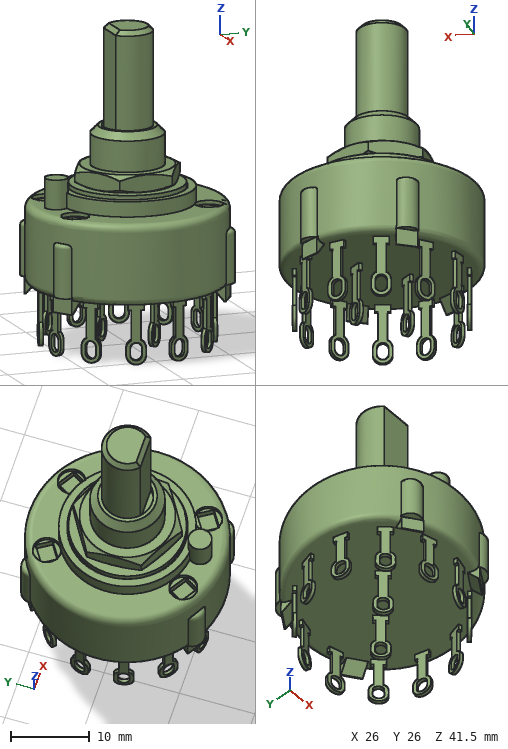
import cadquery as cq
import math

OVERALL_HEIGHT = 41.5

HOUSING_DIA = 26.0
HOUSING_BOTTOM_Z = 8.05
HOUSING_TOP_Z = 18.65
TOP_FACE_DIA = 24.0
TOP_ROUND = (HOUSING_DIA - TOP_FACE_DIA) / 2
BOTTOM_ROUND = 0.87

COLLAR_DIA = 17.45
COLLAR_TOP_Z = 20.63
RECESS_DIA = 15.3
RECESS_DEPTH = 0.25

BUSHING_DIA = 9.5
BUSHING_TOP_Z = 28.55
BUSHING_CHAMFER = 1.0
SHAFT_DIA = 6.55
SHAFT_CHAMFER = 0.62
FLAT_OFFSET = 2.4
FLAT_DEPTH_IN_BUSHING = 1.0

PIN_DIA = 3.0
PIN_TOP_Z = 22.5
PIN_Y = -9.63

RIB_AND_WINDOW_ANGLE = 60.0

RIB_RADIUS = 1.65
RIB_CIRCLE_RADIUS = 12.1
RIB_BOTTOM_Z = 8.5
RIB_TOP_Z = 15.5
RIB_ROUND = 0.5
FOOT_BOTTOM_Z = 6.3
FOOT_OUTER_START = (7.6, 10.4)
FOOT_OUTER_END = (5.23, 12.0)
FOOT_INWARD_ANGLE = 250.0
FOOT_TIP_DEPTH = 0.15
FOOT_ROOT_DEPTH = 2.05

WINDOW_CIRCLE_RADIUS = 10.45
COUNTERBORE_DIA = 3.55
COUNTERBORE_DEPTH = 0.5
WINDOW_WIDTH = 2.7
WINDOW_BREADTH = 2.25
WINDOW_TWIST = 58.0
WINDOW_DEPTH = 1.45

OUTER_TERMINAL_COUNT = 12
OUTER_TERMINAL_RADIUS = 11.1
OUTER_TERMINAL_START = 15.0
INNER_TERMINAL_COUNT = 2
INNER_TERMINAL_RADIUS = 3.75
INNER_TERMINAL_START = 45.0
TERMINAL_THICKNESS = 0.5
STEM_WIDTH = 1.25
SHOULDER_WIDTH = 2.05
SHOULDER_BOTTOM_Z = 7.1
EYE_WIDTH = 2.57
EYE_HEIGHT = 3.35
EYE_HOLE_WIDTH = 1.5
EYE_HOLE_HEIGHT = 2.32

WASHER_DIA = 15.0
WASHER_TOP_Z = 21.12
NUT_SIDES = 6
NUT_ACROSS_FLATS = 12.45
NUT_TOP_Z = 23.5
NUT_CHAMFER_DIA = 12.15
NUT_CHAMFER_ANGLE = 28.0
NUT_TURN = 1.4


def cylinder(diameter, bottom_z, top_z):
    """Upright cylinder on the Z axis."""
    return cq.Workplane("XY").workplane(offset=bottom_z).circle(diameter / 2).extrude(top_z - bottom_z)


def place_at(radius):
    """Point of the +X +Y quadrant on the line shared by its rib and its window."""
    angle = math.radians(RIB_AND_WINDOW_ANGLE)
    return (radius * math.cos(angle), radius * math.sin(angle), 0)


def in_four_quadrants(shape):
    """The shape and its mirror images across the XZ and YZ planes."""
    pair = [shape, shape.mirror("YZ")]
    return pair + [half.mirror("XZ") for half in pair]


def make_housing():
    housing = cylinder(HOUSING_DIA, HOUSING_BOTTOM_Z, HOUSING_TOP_Z)
    housing = housing.faces(">Z").edges().fillet(TOP_ROUND)
    housing = housing.faces("<Z").edges().fillet(BOTTOM_ROUND)
    collar = cylinder(COLLAR_DIA, HOUSING_TOP_Z, COLLAR_TOP_Z)
    recess = cylinder(RECESS_DIA, COLLAR_TOP_Z - RECESS_DEPTH, COLLAR_TOP_Z)
    return housing.union(collar.cut(recess))


def make_bushing():
    bushing = cylinder(BUSHING_DIA, HOUSING_TOP_Z, BUSHING_TOP_Z)
    return bushing.faces(">Z").chamfer(BUSHING_CHAMFER)


def make_shaft():
    """D-shaped shaft; its flat faces -Y and ends below the rim of the bushing."""
    shaft = cylinder(SHAFT_DIA, HOUSING_TOP_Z, OVERALL_HEIGHT)
    flat_bottom_z = BUSHING_TOP_Z - FLAT_DEPTH_IN_BUSHING
    flat_cut = (
        cq.Workplane("XY")
        .workplane(offset=flat_bottom_z)
        .center(0, -FLAT_OFFSET - SHAFT_DIA / 2)
        .rect(SHAFT_DIA, SHAFT_DIA)
        .extrude(OVERALL_HEIGHT - flat_bottom_z)
    )
    return shaft.cut(flat_cut).faces(">Z").chamfer(SHAFT_CHAMFER)


def make_bushing_with_shaft():
    bore = cylinder(SHAFT_DIA, HOUSING_TOP_Z, BUSHING_TOP_Z)
    return make_bushing().cut(bore).union(make_shaft())


def make_locating_pin():
    return cylinder(PIN_DIA, HOUSING_TOP_Z, PIN_TOP_Z).translate((0, PIN_Y, 0))


def make_rib():
    """Rounded post half sunk into the side wall, in the +X +Y quadrant."""
    rib = cylinder(2 * RIB_RADIUS, RIB_BOTTOM_Z, RIB_TOP_Z)
    return rib.faces(">Z").edges().fillet(RIB_ROUND).translate(place_at(RIB_CIRCLE_RADIUS))


def make_foot():
    """Wedge with an upright outer face that tapers downwards to a narrow tip."""

    def section(depth, z):
        angle = math.radians(FOOT_INWARD_ANGLE)
        inward = cq.Vector(math.cos(angle), math.sin(angle)) * depth
        start = cq.Vector(*FOOT_OUTER_START, z)
        end = cq.Vector(*FOOT_OUTER_END, z)
        return cq.Wire.makePolygon([start, end, end + inward, start + inward], close=True)

    tip = section(FOOT_TIP_DEPTH, FOOT_BOTTOM_Z)
    root = section(FOOT_ROOT_DEPTH, RIB_BOTTOM_Z)
    return cq.Workplane(cq.Solid.makeLoft([tip, root], True))


def make_window():
    """Counterbore and rectangular pocket below it, as a cutting tool in the +X +Y quadrant."""
    counterbore_floor_z = HOUSING_TOP_Z - COUNTERBORE_DEPTH
    counterbore = cylinder(COUNTERBORE_DIA, counterbore_floor_z, HOUSING_TOP_Z)
    pocket = (
        cq.Workplane("XY")
        .workplane(offset=HOUSING_TOP_Z - WINDOW_DEPTH)
        .rect(WINDOW_BREADTH, WINDOW_WIDTH)
        .extrude(WINDOW_DEPTH)
        .rotate((0, 0, 0), (0, 0, 1), WINDOW_TWIST)
    )
    return counterbore.union(pocket).translate(place_at(WINDOW_CIRCLE_RADIUS))


def make_terminal(radius, angle):
    """Flat solder lug facing outwards, at a radius and angle about the axis."""

    def plate():
        return cq.Workplane("YZ").workplane(offset=radius - TERMINAL_THICKNESS / 2)

    def blade(width, bottom_z):
        height = HOUSING_BOTTOM_Z - bottom_z
        return plate().center(0, bottom_z + height / 2).rect(width, height).extrude(TERMINAL_THICKNESS)

    def slot(width, height):
        return plate().center(0, EYE_HEIGHT / 2).slot2D(height, width, 90).extrude(TERMINAL_THICKNESS)

    terminal = blade(STEM_WIDTH, EYE_HEIGHT / 2)
    terminal = terminal.union(blade(SHOULDER_WIDTH, SHOULDER_BOTTOM_Z))
    terminal = terminal.union(slot(EYE_WIDTH, EYE_HEIGHT))
    terminal = terminal.cut(slot(EYE_HOLE_WIDTH, EYE_HOLE_HEIGHT))
    return terminal.rotate((0, 0, 0), (0, 0, 1), angle)


def make_terminal_ring(count, radius, start_angle):
    return [make_terminal(radius, start_angle + 360 / count * index) for index in range(count)]


def make_switch():
    switch = make_housing().union(make_bushing_with_shaft()).union(make_locating_pin())
    for post in in_four_quadrants(make_rib()) + in_four_quadrants(make_foot()):
        switch = switch.union(post)
    for window in in_four_quadrants(make_window()):
        switch = switch.cut(window)
    outer = make_terminal_ring(OUTER_TERMINAL_COUNT, OUTER_TERMINAL_RADIUS, OUTER_TERMINAL_START)
    inner = make_terminal_ring(INNER_TERMINAL_COUNT, INNER_TERMINAL_RADIUS, INNER_TERMINAL_START)
    for terminal in outer + inner:
        switch = switch.union(terminal)
    return switch


def make_washer():
    """Plain washer around the bushing, standing on the floor of the collar recess."""
    bottom_z = COLLAR_TOP_Z - RECESS_DEPTH
    return cylinder(WASHER_DIA, bottom_z, WASHER_TOP_Z).cut(cylinder(BUSHING_DIA, bottom_z, WASHER_TOP_Z))


def make_nut():
    """Hex nut with the corners chamfered on both faces, turned slightly from the X and Y axes."""
    corner_dia = NUT_ACROSS_FLATS / math.cos(math.pi / NUT_SIDES)
    chamfer_height = (corner_dia - NUT_CHAMFER_DIA) / 2 * math.tan(math.radians(NUT_CHAMFER_ANGLE))
    hexagon = (
        cq.Workplane("XY")
        .workplane(offset=WASHER_TOP_Z)
        .polygon(NUT_SIDES, corner_dia)
        .extrude(NUT_TOP_Z - WASHER_TOP_Z)
        .rotate((0, 0, 0), (0, 0, 1), 180 / NUT_SIDES + NUT_TURN)
    )
    envelope = (
        cq.Workplane("XZ")
        .moveTo(0, WASHER_TOP_Z)
        .lineTo(NUT_CHAMFER_DIA / 2, WASHER_TOP_Z)
        .lineTo(corner_dia / 2, WASHER_TOP_Z + chamfer_height)
        .lineTo(corner_dia / 2, NUT_TOP_Z - chamfer_height)
        .lineTo(NUT_CHAMFER_DIA / 2, NUT_TOP_Z)
        .lineTo(0, NUT_TOP_Z)
        .close()
        .revolve(360, (0, 0, 0), (0, 1, 0))
    )
    return hexagon.intersect(envelope).cut(cylinder(BUSHING_DIA, WASHER_TOP_Z, NUT_TOP_Z))


switch = make_switch()
washer = make_washer()
nut = make_nut()

result = cq.Compound.makeCompound([switch.solids().val(), washer.solids().val(), nut.solids().val()])